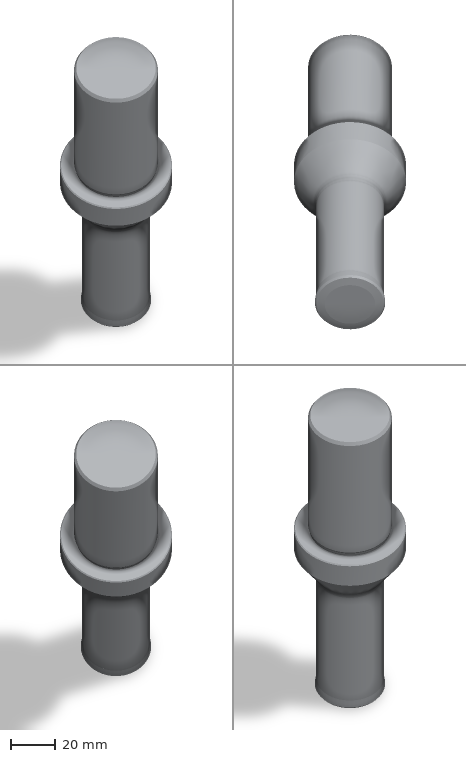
import cadquery as cq

total_height = 168.2
tip_height = 5.5
cone_bottom = 70.6
collar_bottom = 86.0
collar_top = 98.5
shank_bottom = 100.5

stem_radius = 15.5
collar_radius = 25.4
neck_radius = 18.5
relief_radius = 19.7
shank_radius = 19.0
cutting_radius = 16.0
end_face_radius = 11.5

collar_chamfer = 0.5
shank_chamfer_height = 1.5
shank_chamfer_width = 1.0
neck_taper_height = 1.0
relief_depth = 0.3
cone_fillet_radius = 5.0
edge_search_margin = 1.7
cutting_corner_height = 1.7
corner_bevel_height = 1.0
corner_bevel_width = 0.7


def revolve_profile(points):
    """Turn a closed (radius, height) outline around the Z axis."""
    return cq.Workplane("XZ").polyline(points).close().revolve(360, (0, 0, 0), (0, 1, 0))


def make_holder():
    """Stem, conical flare, collar, undercut neck and chamfered shank."""
    outline = [
        (0, tip_height),
        (stem_radius, tip_height),
        (stem_radius, cone_bottom),
        (collar_radius, collar_bottom),
        (collar_radius, collar_top - collar_chamfer),
        (collar_radius - collar_chamfer, collar_top),
        (relief_radius, collar_top),
        (neck_radius, collar_top - relief_depth),
        (neck_radius, shank_bottom - neck_taper_height),
        (shank_radius, shank_bottom),
        (shank_radius, total_height - shank_chamfer_height),
        (shank_radius - shank_chamfer_width, total_height),
        (0, total_height),
    ]
    holder = revolve_profile(outline)
    cone_edge = cq.selectors.BoxSelector(
        (-collar_radius, -collar_radius, cone_bottom - edge_search_margin),
        (collar_radius, collar_radius, cone_bottom + edge_search_margin),
    )
    return holder.edges("%CIRCLE").edges(cone_edge).fillet(cone_fillet_radius)


def make_cutting_tip():
    """Slightly flared tip with a bevelled corner and a shallow conical end."""
    outline = [
        (0, 0),
        (end_face_radius, 0),
        (cutting_radius - corner_bevel_width, cutting_corner_height - corner_bevel_height),
        (cutting_radius, cutting_corner_height),
        (stem_radius, tip_height),
        (0, tip_height),
    ]
    return revolve_profile(outline)


holder = make_holder()
cutting_tip = make_cutting_tip()
result = cq.Compound.makeCompound([holder.val(), cutting_tip.val()])